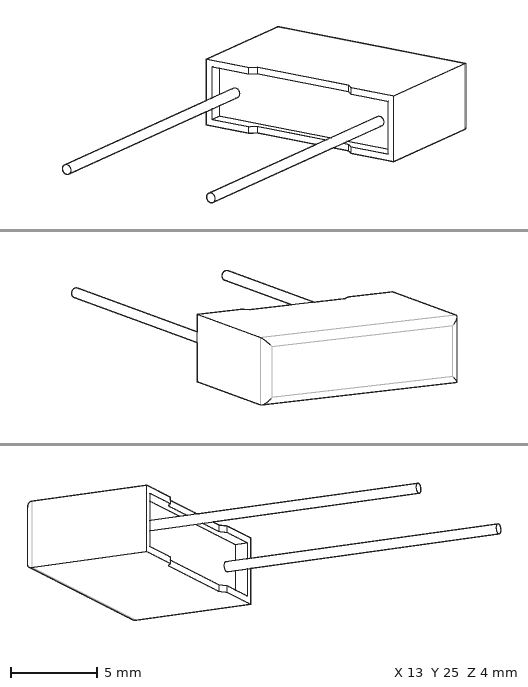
import cadquery as cq

total_length = 25.0
case_width = 13.0
case_length = 8.0
case_height = 4.0

wall = 0.4
edge_radius = 0.5
notch_mouth_width = 7.1
notch_floor_width = 6.3
notch_depth = 0.32

fill_setback = 0.8

lead_diameter = 0.6
lead_spacing = 10.0

cavity_width = case_width - 2 * wall
cavity_height = case_height - 2 * wall
cavity_depth = case_length - wall
fill_length = cavity_depth - fill_setback
lead_tip_y = case_length - total_length
lead_length = fill_setback - lead_tip_y


def block(width, length, height, start_y):
    """Block centred on X and Z that runs towards +Y from start_y."""
    return cq.Workplane("XY").box(width, length, height, centered=(True, False, True)).translate((0, start_y, 0))


def make_notch():
    """Cutter for the sloped-sided notches in the rims of both broad walls."""
    return (
        cq.Workplane("XY")
        .polyline([
            (-notch_mouth_width / 2, 0),
            (-notch_floor_width / 2, notch_depth),
            (notch_floor_width / 2, notch_depth),
            (notch_mouth_width / 2, 0),
        ])
        .close()
        .extrude(case_height / 2, both=True)
    )


def make_case():
    """Box open towards -Y, rounded around its closed end."""
    shell = block(case_width, case_length, case_height, 0).faces(">Y").edges().fillet(edge_radius)
    cavity = block(cavity_width, cavity_depth, cavity_height, 0)
    return shell.cut(cavity).cut(make_notch())


def make_fill():
    """Resin block that fills the cavity behind the setback."""
    return block(cavity_width, fill_length, cavity_height, fill_setback)


def make_lead(x):
    """Round wire from the resin face to its tip."""
    return (
        cq.Workplane("XZ", origin=(x, fill_setback, 0))
        .circle(lead_diameter / 2)
        .extrude(lead_length)
    )


case = make_case()
fill = make_fill()
leads = [make_lead(side * lead_spacing / 2) for side in (-1, 1)]

result = cq.Compound.makeCompound([case.val(), fill.val(), *[lead.val() for lead in leads]])